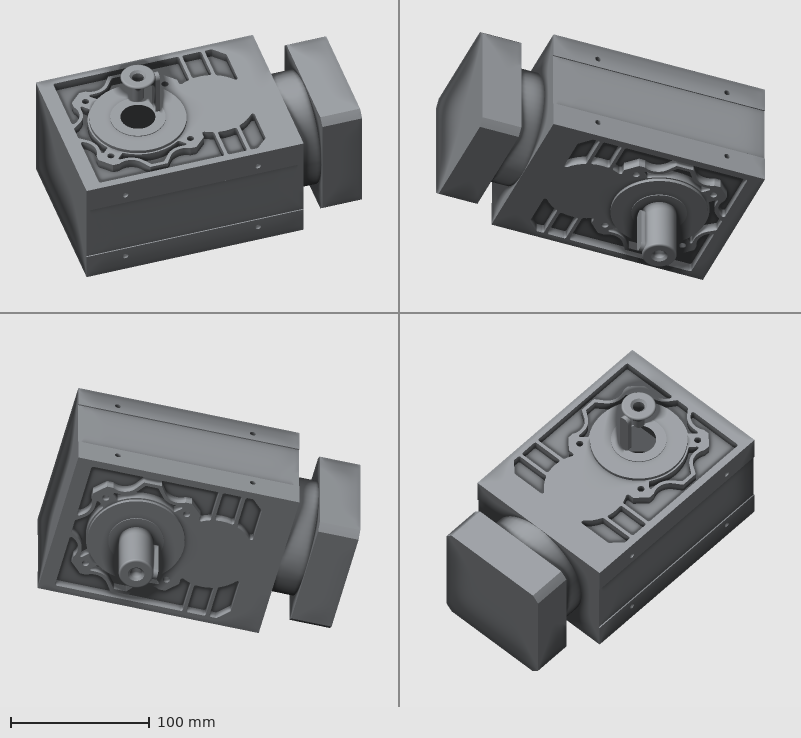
import cadquery as cq
import math


overall_length = 213.0

body_width = 120.0
body_height = 85.0
body_front = 58.0
body_length = 164.0
side_relief_height = 45.4
side_relief_depth = 0.9
body_top = body_height / 2
body_back = body_length - body_front

neck_diameter = 84.3
neck_length = 19.0
flange_size = 89.9
flange_turned_diameter = 120.1
flange_length = overall_length - body_length - neck_length

side_hole_diameter = 4.3
side_hole_depth = 10.0
side_hole_front = -28.5
side_hole_pitch_y = 100.1
side_hole_pitch_z = 60.0

cover_diameter = 70.0
cover_top = flange_size / 2
seal_diameter = 40.0
seal_height = 0.6
shaft_diameter = 25.1
shaft_length = 172.0
shaft_end_round = 1.5
shaft_top = shaft_length / 2
center_hole_diameter = 8.5
center_hole_mouth = 12.0
center_hole_depth = 21.3
drill_point_angle = 118

key_width = 8.0
key_length = 36.2
key_top = 15.5
key_end_gap = 1.5

screw_offset = 30.0
screw_diameter = 5.1
screw_depth = 10.6

pocket_depth = 7.0
pocket_floor = body_top - pocket_depth
pocket_round = 1.5
arm_pocket_round = 1.0
pocket_half_width = 54.5
pocket_front = -46.6
pocket_back = 81.8
pocket_corner_cut = 8.5
rib_width = 2.5
rib_centers = (49.5, 66.5)
input_land_radius = 30.0
input_land_y = 56.2

scallop_x = 50.0
scallop_angle = 22.5
scallop_y = scallop_x * math.tan(math.radians(scallop_angle))
scallop_radius = 12.0
arm_tip = 49.8
arm_half_width = 6.5
lug_side = 39.8
lug_corner = 31.5
arm_wall = 2.5
arm_pocket_half_width = 4.7
hub_radius = 36.2
spoke_half_width = 6.0


def prism(points, bottom, height):
    """Extrude a closed polygon along Z."""
    return cq.Workplane("XY").workplane(offset=bottom).polyline(points).close().extrude(height)


def cylinder(diameter, bottom, top, x=0, y=0):
    """Vertical cylinder between two heights."""
    plane = cq.Workplane("XY").workplane(offset=bottom)
    return plane.center(x, y).circle(diameter / 2).extrude(top - bottom)


def drilled_hole(diameter, depth):
    """Drill shape pointing down from the origin, with a conical bottom."""
    radius = diameter / 2
    point = radius / math.tan(math.radians(drill_point_angle / 2))
    outline = [(0, 0), (radius, 0), (radius, -depth), (0, -depth - point)]
    return cq.Workplane("XZ").polyline(outline).close().revolve(360, (0, 0), (0, 1))


def mirrored_in_z(shape):
    """Shape joined with its mirror image below Z = 0."""
    return shape.union(shape.mirror("XY"))


def scallop_tangent_point(tip_x, tip_y, radius):
    """Point where the line from an arm's tip corner touches its scallop."""
    dx = tip_x - scallop_x
    dy = tip_y - scallop_y
    angle = math.atan2(dy, dx) - math.acos(radius / math.hypot(dx, dy))
    return scallop_x + radius * math.cos(angle), scallop_y + radius * math.sin(angle)


def cut_scallops(shape, radius):
    """Remove the eight scallop circles around the hub."""
    for quarter in range(4):
        for side in (-1, 1):
            scallop = cylinder(2 * radius, pocket_floor, body_top, scallop_x, side * scallop_y)
            shape = shape.cut(scallop.rotate((0, 0, 0), (0, 0, 1), 90 * quarter))
    return shape


def round_pocket(pocket, radius):
    """Pocket with rounded inner corners: its outline shrunk, then grown back."""
    outline = pocket.faces("<Z").Wires()[0]
    shrunk = outline.offset2D(-radius)[0]
    rounded = shrunk.offset2D(radius)[0]
    return cq.Workplane(cq.Solid.extrudeLinear(rounded, [], cq.Vector(0, 0, pocket_depth)))


def cover_seat():
    """Star with four arms and four corner lugs."""
    tangent = scallop_tangent_point(arm_tip, arm_half_width, scallop_radius)
    lug_start = scallop_y + math.sqrt(scallop_radius**2 - (scallop_x - lug_side) ** 2)
    half_quarter = [
        (arm_tip, arm_half_width),
        tangent,
        (scallop_x, scallop_y),
        (lug_side, lug_start),
        (lug_side, lug_corner),
    ]
    quarter = half_quarter + [(y, x) for x, y in reversed(half_quarter)]
    outline = []
    for _ in range(4):
        outline += quarter
        quarter = [(-y, x) for x, y in quarter]
    return cut_scallops(prism(outline, pocket_floor, pocket_depth), scallop_radius)


def outer_pockets():
    """Framed pockets around the cover seat and the input bearing land."""
    cut_start = pocket_half_width - pocket_corner_cut
    frame = [
        (-pocket_half_width, pocket_front),
        (pocket_half_width, pocket_front),
        (pocket_half_width, pocket_back - pocket_corner_cut),
        (cut_start, pocket_back),
        (-cut_start, pocket_back),
        (-pocket_half_width, pocket_back - pocket_corner_cut),
    ]
    pockets = prism(frame, pocket_floor, pocket_depth).cut(cover_seat())
    land_width = 2 * math.sqrt(input_land_radius**2 - (input_land_y - lug_side) ** 2)
    bridge = cq.Workplane("XY").box(land_width, lug_side, pocket_depth, (True, False, False))
    pockets = pockets.cut(bridge.translate((0, 0, pocket_floor)))
    pockets = pockets.cut(cylinder(2 * input_land_radius, pocket_floor, body_top, 0, input_land_y))
    for y in rib_centers:
        rib = cq.Workplane("XY").box(2 * pocket_half_width, rib_width, pocket_depth, (True, True, False))
        pockets = pockets.cut(rib.translate((0, y, pocket_floor)))
    return pockets


def arm_pockets():
    """Crescent pockets inside the left, right and front arms of the seat."""
    radius = scallop_radius + arm_wall
    tip = arm_tip - arm_wall
    wedge_start = spoke_half_width * math.sqrt(2)
    wall = scallop_x - radius
    upper = [
        (wall, wall - wedge_start),
        (wall, scallop_y),
        (scallop_x, scallop_y),
        scallop_tangent_point(tip, arm_pocket_half_width, radius),
        (tip, arm_pocket_half_width),
    ]
    outline = [(wedge_start, 0)] + upper + [(x, -y) for x, y in reversed(upper)]
    arm = cut_scallops(prism(outline, pocket_floor, pocket_depth), radius)
    arm = arm.cut(cylinder(2 * hub_radius, pocket_floor, body_top))
    front_limit = cq.Workplane("XY").box(body_width, -pocket_front, body_height, (True, False, True))
    front_limit = front_limit.translate((0, pocket_front, 0))
    front_arm = arm.rotate((0, 0, 0), (0, 0, 1), -90).intersect(front_limit)
    return [arm, arm.mirror("YZ"), front_arm]


def housing():
    """Block with shallow side reliefs and drilled side holes."""
    body = cq.Workplane("XY").box(body_width, body_length, body_height, (True, False, True))
    body = body.translate((0, -body_front, 0))
    relief = cq.Workplane("XY").box(side_relief_depth, body_length, side_relief_height, (False, False, True))
    relief = relief.translate((body_width / 2 - side_relief_depth, -body_front, 0))
    cutters = [relief]
    side_hole = drilled_hole(side_hole_diameter, side_hole_depth).rotate((0, 0, 0), (0, 1, 0), 90)
    for y in (side_hole_front, side_hole_front + side_hole_pitch_y):
        for z in (-side_hole_pitch_z / 2, side_hole_pitch_z / 2):
            cutters.append(side_hole.translate((body_width / 2, y, z)))
    for cutter in cutters:
        body = body.cut(cutter).cut(cutter.mirror("YZ"))
    return body


def cut_end_faces(body):
    """Pockets and cover screw holes, the same in the top and bottom faces."""
    screw_hole = drilled_hole(screw_diameter, screw_depth)
    cutters = [round_pocket(pocket, pocket_round) for pocket in outer_pockets().solids().vals()]
    cutters += [round_pocket(pocket.val(), arm_pocket_round) for pocket in arm_pockets()]
    for x in (-screw_offset, screw_offset):
        for y in (-screw_offset, screw_offset):
            cutters.append(screw_hole.translate((x, y, body_top)))
    for cutter in cutters:
        body = body.cut(cutter).cut(cutter.mirror("XY"))
    return body


def motor_adapter():
    """Round neck and a square flange with turned corners."""
    back = cq.Workplane("XZ", origin=(0, body_back, 0))
    neck = back.circle(neck_diameter / 2).extrude(-neck_length)
    seat = back.workplane(offset=-neck_length)
    flange = seat.rect(flange_size, flange_size).extrude(-flange_length)
    turned = seat.circle(flange_turned_diameter / 2).extrude(-flange_length)
    return neck.union(flange.intersect(turned))


def output_side():
    """Cover, seal ring, shaft end and key above the Z = 0 plane."""
    side = cylinder(cover_diameter, 0, cover_top)
    side = side.union(cylinder(seal_diameter, 0, cover_top + seal_height))
    shaft = cylinder(shaft_diameter, 0, shaft_top).faces(">Z").edges().fillet(shaft_end_round)
    key = cq.Workplane("XZ").slot2D(key_length, key_width, 90).extrude(-key_top)
    key = key.translate((0, 0, shaft_top - key_end_gap - key_length / 2))
    hole = drilled_hole(center_hole_diameter, center_hole_depth)
    mouth_radius = center_hole_mouth / 2
    countersink = cq.Workplane("XZ").polyline([(0, 0), (mouth_radius, 0), (0, -mouth_radius)]).close()
    countersink = countersink.revolve(360, (0, 0), (0, 1))
    side = side.union(shaft).union(key)
    for cutter in (hole, countersink):
        side = side.cut(cutter.translate((0, 0, shaft_top)))
    return side


result = cut_end_faces(housing()).union(motor_adapter()).union(mirrored_in_z(output_side()))